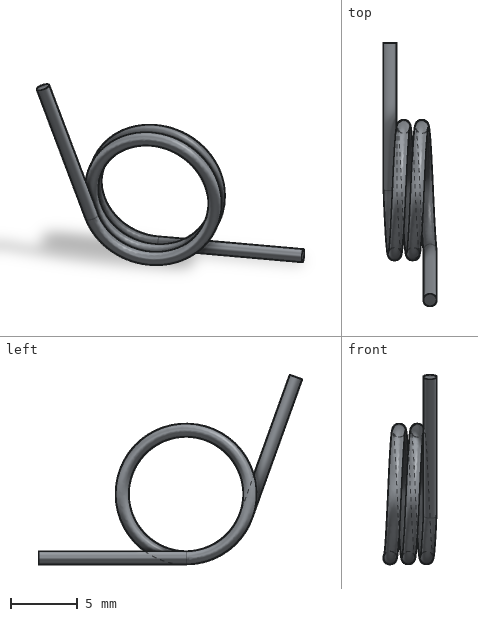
import cadquery as cq
import math

wire_diameter = 1.0
coil_radius = 4.76
coil_width = 2.99
leg_length = 11.0
full_turns = 2
upper_leg_tilt = 19.8

wire_radius = wire_diameter / 2
end_angle = 90 - upper_leg_tilt
pitch = coil_width / (full_turns + end_angle / 360)


def make_leg(start, direction):
    return cq.Solid.makeCylinder(wire_radius, leg_length, start, direction)


def make_coil():
    """Wind the wire about Z from +X, then turn the axis to X and the start to -Z."""
    path = cq.Wire.makeHelix(pitch, coil_width, coil_radius, lefthand=True)
    coil = (
        cq.Workplane("XZ")
        .center(coil_radius, 0)
        .circle(wire_radius)
        .sweep(cq.Workplane(path), isFrenet=True)
    )
    return coil.rotate((0, 0, 0), (0, 1, 0), 90)


lower_leg = make_leg(cq.Vector(0, 0, -coil_radius), cq.Vector(0, 1, 0))

tilt = math.radians(upper_leg_tilt)
upper_leg_start = cq.Vector(
    coil_width,
    -coil_radius * math.cos(tilt),
    -coil_radius * math.sin(tilt),
)
upper_leg = make_leg(upper_leg_start, cq.Vector(0, -math.sin(tilt), math.cos(tilt)))

result = make_coil().union(cq.Workplane(lower_leg)).union(cq.Workplane(upper_leg))